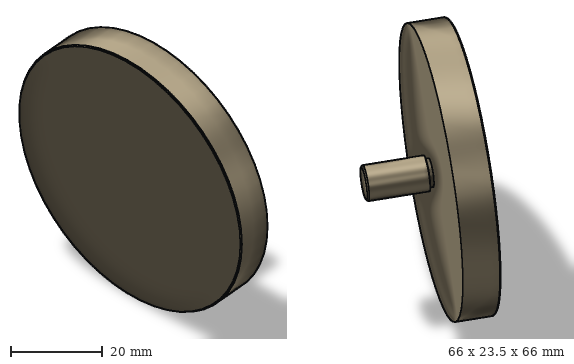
import cadquery as cq

disc_diameter = 65.95
disc_thickness = 8.5
disc_edge_chamfer = 0.25

stud_diameter = 8.0
stud_end_chamfer = 0.4
neck_diameter = 6.4
neck_length = 1.0
shank_length = 14.0

disc_back_y = 0.0
disc_front_y = disc_back_y - disc_thickness
shank_start_y = disc_back_y + neck_length


def cylinder_along_y(diameter, start_y, length):
    """Cylinder on the Y axis that grows toward +Y from start_y."""
    return (
        cq.Workplane("XZ", origin=(0, start_y, 0))
        .circle(diameter / 2)
        .extrude(-length)
    )


def make_disc():
    """Disc with a small chamfer around its front face."""
    disc = cylinder_along_y(disc_diameter, disc_front_y, disc_thickness)
    return disc.faces("<Y").edges().chamfer(disc_edge_chamfer)


def make_stud():
    """Neck and shank in one piece, chamfered at the free end."""
    neck = cylinder_along_y(neck_diameter, disc_back_y, neck_length)
    shank = cylinder_along_y(stud_diameter, shank_start_y, shank_length)
    shank = shank.faces(">Y").edges().chamfer(stud_end_chamfer)
    return neck.union(shank)


disc = make_disc()
stud = make_stud()

result = cq.Compound.makeCompound([disc.val(), stud.val()])